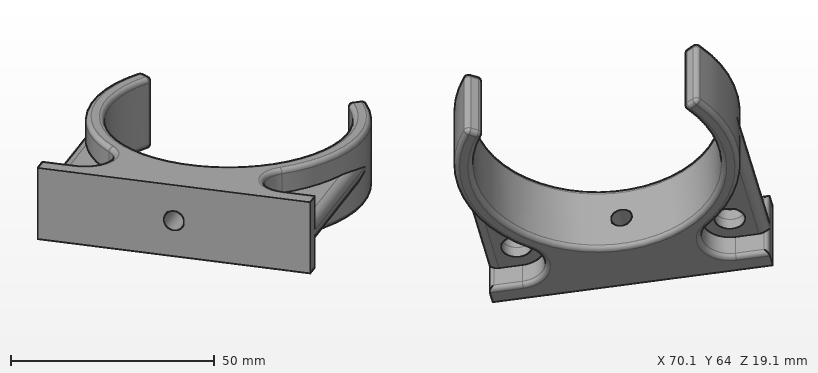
import cadquery as cq
import math

width = 70.1
height = 19.1
edge_radius = 1.25

ring_outer = width / 2
ring_inner = 30.5
ring_center_y = 0.0
base_front_y = -44.5
end_angle = 34.7

base_thickness = 5.0
base_back_y = base_front_y + base_thickness
recess_radius = 7.0
recess_y = base_back_y + recess_radius
recess_x = math.sqrt((ring_outer + recess_radius) ** 2 - (recess_y - ring_center_y) ** 2)

web_thickness = 6.25
web_edge_radius = 2.5
mount_hole_diameter = 7.6
base_hole_diameter = 5.2


def on_circle(radius, angle):
    """Point on a circle about the ring center, angle in degrees from +X."""
    turn = math.radians(angle)
    return (radius * math.cos(turn), ring_center_y + radius * math.sin(turn))


def mirrored(point):
    return (-point[0], point[1])


def make_body():
    """Ring, saddle and base plate as one outline with rounded edges."""
    tangent_angle = math.degrees(math.atan2(recess_y - ring_center_y, recess_x))
    tangent = on_circle(ring_outer, tangent_angle)
    recess_foot = (recess_x, base_back_y)
    middle_turn = math.radians((tangent_angle + 180 + 270) / 2)
    recess_middle = (
        recess_x + recess_radius * math.cos(middle_turn),
        recess_y + recess_radius * math.sin(middle_turn),
    )
    outer_end = on_circle(ring_outer, end_angle)
    inner_end = on_circle(ring_inner, end_angle)
    outer_middle = on_circle(ring_outer, (tangent_angle + end_angle) / 2)

    body = (
        cq.Workplane("XY")
        .workplane(offset=-height / 2)
        .moveTo(-width / 2, base_front_y)
        .lineTo(width / 2, base_front_y)
        .lineTo(width / 2, base_back_y)
        .lineTo(*recess_foot)
        .threePointArc(recess_middle, tangent)
        .threePointArc(outer_middle, outer_end)
        .lineTo(*inner_end)
        .threePointArc((0, ring_center_y - ring_inner), mirrored(inner_end))
        .lineTo(*mirrored(outer_end))
        .threePointArc(mirrored(outer_middle), mirrored(tangent))
        .threePointArc(mirrored(recess_middle), mirrored(recess_foot))
        .lineTo(-width / 2, base_back_y)
        .close()
        .extrude(height)
    )
    flat_edges = body.faces("<Z or >Z").edges("not(<Y or <X or >X)")
    plate_corners = body.edges("|Z").edges("<X or >X").edges(">Y")
    ring_ends = body.edges("|Z").filter(lambda edge: edge.Center().y > ring_center_y)
    return flat_edges.add(plate_corners).add(ring_ends).fillet(edge_radius)


def make_webs():
    """Plate at mid height filling both corners between base and ring."""
    length = ring_center_y - base_front_y
    bore = cq.Workplane("XY").center(0, ring_center_y).circle(ring_outer - edge_radius)
    return (
        cq.Workplane("XY")
        .center(0, base_front_y + length / 2)
        .box(width, length, web_thickness)
        .edges("|Y")
        .fillet(web_edge_radius)
        .cut(bore.extrude(web_thickness, both=True))
    )


mount_holes = (
    cq.Workplane("XY")
    .pushPoints([(-recess_x, recess_y), (recess_x, recess_y)])
    .circle(mount_hole_diameter / 2)
    .extrude(web_thickness, both=True)
)

base_hole = (
    cq.Workplane("XZ", origin=(0, base_front_y, 0))
    .circle(base_hole_diameter / 2)
    .extrude(base_front_y - ring_center_y)
)

result = make_body().union(make_webs()).cut(mount_holes).cut(base_hole)